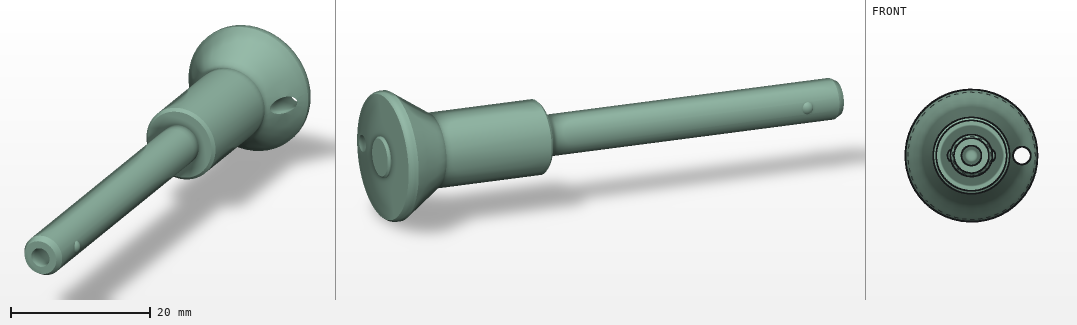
import cadquery as cq

overall_length = 71.8

shank_diameter = 6.0
tip_chamfer_length = 0.9
tip_chamfer_depth = 0.5
bore_diameter = 2.9
bore_depth = 5.75

grip_diameter = 11.0
grip_chamfer = 0.4
shank_length = 46.8
cone_start = 63.75
flange_diameter = 19.0
flange_thickness = 1.45

round_length = 0.85
round_depth = 0.35

button_diameter = 6.0
button_height = 0.47
button_chamfer = 0.25

hole_diameter = 2.5
hole_offset = 7.25

ball_diameter = 2.0
ball_span = 6.9
ball_position = 5.9

round_radius = (round_length**2 + round_depth**2) / (2 * round_depth)
flange_back = overall_length - button_height
flange_front = flange_back - flange_thickness


def pin_body():
    """Revolve the half outline (radius, Y) of shank, handle and button about Y."""
    shank_radius = shank_diameter / 2
    grip_radius = grip_diameter / 2
    button_radius = button_diameter / 2
    flange_radius = flange_diameter / 2
    front_points = [
        (shank_radius - tip_chamfer_depth, 0),
        (shank_radius, tip_chamfer_length),
        (shank_radius, shank_length),
        (grip_radius - grip_chamfer, shank_length),
        (grip_radius, shank_length + grip_chamfer),
        (grip_radius, cone_start),
        (flange_radius, flange_front),
        (flange_radius, flange_back - round_length),
    ]
    back_points = [
        (button_radius, flange_back),
        (button_radius, overall_length - button_chamfer),
        (button_radius - button_chamfer, overall_length),
        (0, overall_length),
    ]
    outline = (
        cq.Workplane("XY")
        .polyline([(0, 0)] + front_points, includeCurrent=False)
        .radiusArc((flange_radius - round_depth, flange_back), -round_radius)
        .polyline(back_points, includeCurrent=True)
        .close()
    )
    return outline.revolve(360, (0, 0), (0, 1))


def cylinder_along_y(diameter, length, x=0):
    """Cylinder running from Y = 0 towards +Y."""
    return cq.Workplane("XZ").center(x, 0).circle(diameter / 2).extrude(-length)


def locking_ball(side):
    """Ball that stands proud of the shank on the given X side."""
    x = side * (ball_span - ball_diameter) / 2
    return cq.Workplane("XY").sphere(ball_diameter / 2).translate((x, ball_position, 0))


result = pin_body()
result = result.cut(cylinder_along_y(bore_diameter, bore_depth))
result = result.cut(cylinder_along_y(hole_diameter, overall_length, hole_offset))
for side in (-1, 1):
    result = result.union(locking_ball(side))